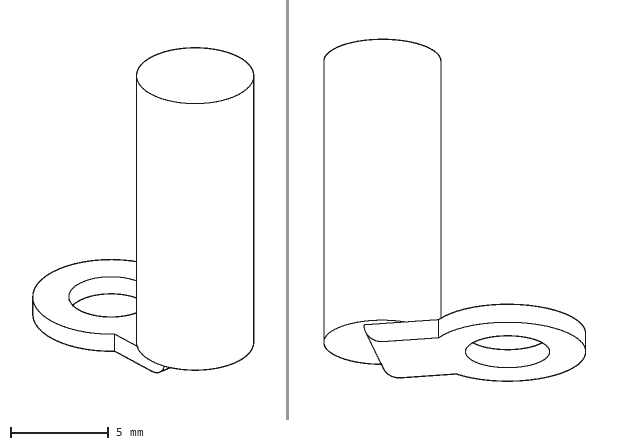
import cadquery as cq
import math

plate_thickness = 1.0
ring_diameter = 8.0
hole_diameter = 4.3

tab_width = 5.0
tab_end_x = 7.0
tab_end_radius = plate_thickness

pin_diameter = 6.0
pin_center_x = 6.5
overall_height = 16.5


def make_ring():
    """Flat disc, before the hole is cut."""
    return cq.Workplane("XY").circle(ring_diameter / 2).extrude(plate_thickness)


def make_tab():
    """Flat bar from the ring centre, its end a quarter round from underside to top."""
    arc_start_x = tab_end_x - tab_end_radius
    arc_offset = tab_end_radius * math.sqrt(0.5)
    arc_middle = (arc_start_x + arc_offset, tab_end_radius - arc_offset)
    return (
        cq.Workplane("XZ")
        .moveTo(0, 0)
        .lineTo(arc_start_x, 0)
        .threePointArc(arc_middle, (tab_end_x, plate_thickness))
        .lineTo(0, plate_thickness)
        .close()
        .extrude(tab_width / 2, both=True)
    )


def make_pin():
    """Cylinder from the top of the plate to the full height."""
    return (
        cq.Workplane("XY", origin=(pin_center_x, 0, plate_thickness))
        .circle(pin_diameter / 2)
        .extrude(overall_height - plate_thickness)
    )


def make_hole():
    """Cutter for the through hole in the ring."""
    return cq.Workplane("XY").circle(hole_diameter / 2).extrude(plate_thickness)


result = make_ring().union(make_tab()).union(make_pin()).cut(make_hole())